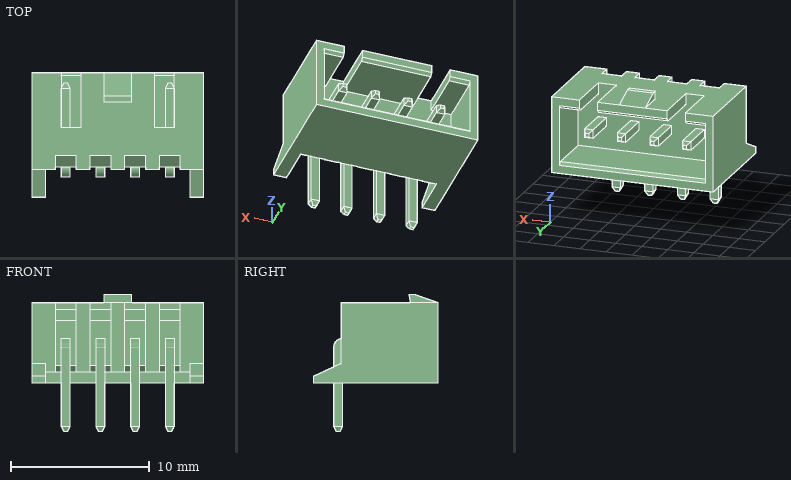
import cadquery as cq


WIDTH = 12.4
DEPTH = 6.99
HEIGHT = 5.8

CAVITY_DEPTH = 3.97
SIDE_WALL = 0.6
FLAT_WALL = 0.84
LEAD_IN = 0.22

SLOT_WIDTH = 1.4
SLOT_OUTER_X = 4.07

PIN_COUNT = 4
PIN_PITCH = 2.5
PIN_SIZE = 0.65
PIN_BACK = 0.55
PIN_TIP_GAP = 0.77
PIN_TAIL = 3.5
TIP_LENGTH = 0.37
TIP_SIZE = 0.27

RECESS_WIDTH = 1.5
RECESS_DEPTH = 1.0
RECESS_FLOOR = 0.17
RECESS_TOP_BAND = 0.51
RAMP_TOP = 1.28
RAMP_BOTTOM = 1.28
UNDERCUT_HEIGHT = 0.78

FOOT_WIDTH = 0.99
FOOT_LENGTH = 2.01
FOOT_ROOT_HEIGHT = 1.43
FOOT_END_HEIGHT = 0.5

LATCH_WIDTH = 1.98
LATCH_HEIGHT = 0.6
LATCH_RAMP_LENGTH = 1.69
LATCH_BASE_LENGTH = 2.01
LATCH_TOP_LENGTH = 2.11


def box(x_min, x_max, y_min, y_max, z_min, z_max):
    """Box between two opposite corners."""
    size = (x_max - x_min, y_max - y_min, z_max - z_min)
    return cq.Workplane("XY").box(*size, centered=False).translate((x_min, y_min, z_min))


def side_profile(points, x_middle, width):
    """Closed (Y, Z) outline extruded along X, centred on x_middle."""
    return cq.Workplane("YZ", origin=(x_middle - width / 2, 0, 0)).polyline(points).close().extrude(width)


def cavity():
    """Mating cavity with lead-in ramps on its top and bottom lips."""
    bottom = FLAT_WALL
    top = HEIGHT - FLAT_WALL
    points = [
        (DEPTH - CAVITY_DEPTH, bottom),
        (DEPTH - LEAD_IN, bottom),
        (DEPTH, bottom - LEAD_IN),
        (DEPTH, top + LEAD_IN),
        (DEPTH - LEAD_IN, top),
        (DEPTH - CAVITY_DEPTH, top),
    ]
    return side_profile(points, 0, WIDTH - 2 * SIDE_WALL)


def top_slot(side):
    """Slot through the top wall; side is -1 or +1."""
    x_middle = side * (SLOT_OUTER_X - SLOT_WIDTH / 2)
    return box(
        x_middle - SLOT_WIDTH / 2, x_middle + SLOT_WIDTH / 2,
        DEPTH - CAVITY_DEPTH, DEPTH,
        HEIGHT / 2, HEIGHT,
    )


def rear_recess(x):
    """Recess behind a pin: deep at both ends, ramping up to a shallow middle."""
    points = [
        (0, HEIGHT),
        (RECESS_DEPTH, HEIGHT),
        (RECESS_DEPTH, HEIGHT - RECESS_TOP_BAND),
        (RECESS_FLOOR, HEIGHT - RAMP_TOP),
        (RECESS_FLOOR, RAMP_BOTTOM),
        (RECESS_DEPTH, UNDERCUT_HEIGHT),
        (0, UNDERCUT_HEIGHT),
    ]
    return side_profile(points, x, RECESS_WIDTH)


def undercut():
    """Step along the lower rear edge, between the feet."""
    half = WIDTH / 2 - FOOT_WIDTH
    return box(-half, half, 0, RECESS_DEPTH, 0, UNDERCUT_HEIGHT)


def foot(side):
    """Tapered foot behind the housing; side is -1 or +1."""
    points = [(0, 0), (-FOOT_LENGTH, 0), (-FOOT_LENGTH, FOOT_END_HEIGHT), (0, FOOT_ROOT_HEIGHT)]
    return side_profile(points, side * (WIDTH - FOOT_WIDTH) / 2, FOOT_WIDTH)


def latch():
    """Wedge on the top face, rising from the mouth to an overhanging rear edge."""
    top = HEIGHT + LATCH_HEIGHT
    points = [
        (DEPTH, HEIGHT),
        (DEPTH - LATCH_RAMP_LENGTH, top),
        (DEPTH - LATCH_TOP_LENGTH, top),
        (DEPTH - LATCH_BASE_LENGTH, HEIGHT),
    ]
    return side_profile(points, 0, LATCH_WIDTH)


def pin_tip(plane):
    """Tapered square tip growing along the normal of the plane."""
    return (
        cq.Workplane(plane)
        .rect(PIN_SIZE, PIN_SIZE)
        .workplane(offset=TIP_LENGTH)
        .rect(TIP_SIZE, TIP_SIZE)
        .loft(ruled=True)
    )


def pin(x):
    """Bent pin: rounded outside, sharp inside, tapered at both ends."""
    axis_z = HEIGHT / 2
    lower = axis_z - PIN_SIZE / 2
    upper = axis_z + PIN_SIZE / 2
    tail_y = PIN_SIZE / 2 - PIN_BACK
    inner_y = PIN_SIZE - PIN_BACK
    mating_end = DEPTH - PIN_TIP_GAP - TIP_LENGTH
    tail_end = TIP_LENGTH - PIN_TAIL
    wire = (
        cq.Workplane("YZ", origin=(x - PIN_SIZE / 2, 0, 0))
        .moveTo(-PIN_BACK, tail_end)
        .lineTo(-PIN_BACK, lower)
        .radiusArc((inner_y, upper), PIN_SIZE)
        .lineTo(mating_end, upper)
        .lineTo(mating_end, lower)
        .lineTo(inner_y, lower)
        .lineTo(inner_y, tail_end)
        .close()
        .extrude(PIN_SIZE)
    )
    mating_tip = pin_tip(cq.Plane((x, mating_end, axis_z), (1, 0, 0), (0, 1, 0)))
    tail_tip = pin_tip(cq.Plane((x, tail_y, tail_end), (1, 0, 0), (0, 0, -1)))
    return wire.union(mating_tip).union(tail_tip)


pin_positions = [(i - (PIN_COUNT - 1) / 2) * PIN_PITCH for i in range(PIN_COUNT)]

housing = box(-WIDTH / 2, WIDTH / 2, 0, DEPTH, 0, HEIGHT).cut(cavity()).cut(undercut())
for x in pin_positions:
    housing = housing.cut(rear_recess(x))
for side in (-1, 1):
    housing = housing.cut(top_slot(side)).union(foot(side))

result = housing.union(latch())
for x in pin_positions:
    result = result.union(pin(x))